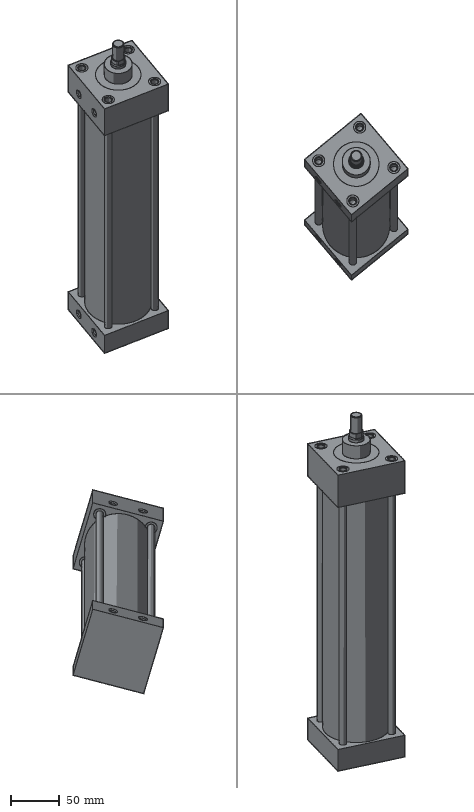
import cadquery as cq
import math

END_CAP_TOP = 25.5
HEAD_BOTTOM = 311.0
HEAD_TOP = 349.2
GLAND_TOP = 364.5
TAPER_BOTTOM = 367.7
FLATS_BOTTOM = 369.0
TAPER_TOP = 369.3
STUD_BOTTOM = 374.5
STUD_TOP = 393.7

CAP_SIDE = 76.5
TUBE_RADIUS = 35.0
TIE_SPACING = 55.5
TIE_RADIUS = 4.0
TIE_HEAD_RADIUS = 6.3

GLAND_PLUG_RADIUS = 23.5
GLAND_BOSS_RADIUS = 14.5

ROD_RADIUS = 8.0
ROD_NECK_RADIUS = 7.0
FLATS_WIDTH = 12.5
STUD_RADIUS = 6.0
STUD_CHAMFER = 0.8

HOLE_RADIUS = 3.5
HOLE_DEPTH = 12.0
DRILL_POINT_ANGLE = 118.0
TIE_HOLE_MOUTH_RADIUS = 4.5
SIDE_HOLE_MOUTH_RADIUS = 4.7
SIDE_HOLE_SPACING = 32.3
END_CAP_HOLE_HEIGHT = 11.5
HEAD_HOLE_HEIGHT = 325.5


def cylinders(radius, bottom, top, centers=((0, 0),)):
    """Upright cylinders of one size, by default a single one on the axis."""
    return (
        cq.Workplane("XY").workplane(offset=bottom)
        .pushPoints(centers).circle(radius).extrude(top - bottom)
    )


def square_block(bottom, top):
    return cq.Workplane("XY").workplane(offset=bottom).rect(CAP_SIDE, CAP_SIDE).extrude(top - bottom)


def blind_hole(mouth_radius):
    """Cutter for a hole opening upward at the origin, with a 45 degree countersink and a drill point."""
    countersink_depth = mouth_radius - HOLE_RADIUS
    point_length = HOLE_RADIUS / math.tan(math.radians(DRILL_POINT_ANGLE / 2))
    return (
        cq.Workplane("XZ")
        .lineTo(mouth_radius, 0)
        .lineTo(HOLE_RADIUS, -countersink_depth)
        .lineTo(HOLE_RADIUS, -HOLE_DEPTH)
        .lineTo(0, -HOLE_DEPTH - point_length)
        .close()
        .revolve(360, (0, 0, 0), (0, 1, 0))
    )


def tie_centers():
    half = TIE_SPACING / 2
    return [(x, y) for x in (-half, half) for y in (-half, half)]


def cut_side_holes(cap, height):
    """Drill the pair of holes in the -Y face of a cap."""
    hole = blind_hole(SIDE_HOLE_MOUTH_RADIUS).rotate((0, 0, 0), (1, 0, 0), 90)
    for x in (-SIDE_HOLE_SPACING / 2, SIDE_HOLE_SPACING / 2):
        cap = cap.cut(hole.translate((x, -CAP_SIDE / 2, height)))
    return cap


def make_barrel():
    """End cap carrying the tube and the four tie rods, whose drilled heads end flush with the head's top."""
    end_cap = cut_side_holes(square_block(0, END_CAP_TOP), END_CAP_HOLE_HEIGHT)
    tube = cylinders(TUBE_RADIUS, END_CAP_TOP, HEAD_BOTTOM)
    tie_rods = cylinders(TIE_RADIUS, END_CAP_TOP, HEAD_BOTTOM, tie_centers())
    tie_heads = cylinders(TIE_HEAD_RADIUS, HEAD_BOTTOM, HEAD_TOP, tie_centers())
    barrel = end_cap.union(tube).union(tie_rods).union(tie_heads)

    hole = blind_hole(TIE_HOLE_MOUTH_RADIUS)
    for x, y in tie_centers():
        barrel = barrel.cut(hole.translate((x, y, HEAD_TOP)))
    return barrel


def make_head():
    """Upper cap, bored for the gland and for the tie rod heads."""
    head = cut_side_holes(square_block(HEAD_BOTTOM, HEAD_TOP), HEAD_HOLE_HEIGHT)
    gland_bore = cylinders(GLAND_PLUG_RADIUS, HEAD_BOTTOM, HEAD_TOP)
    tie_bores = cylinders(TIE_HEAD_RADIUS, HEAD_BOTTOM, HEAD_TOP, tie_centers())
    return head.cut(gland_bore).cut(tie_bores)


def make_gland():
    plug = cylinders(GLAND_PLUG_RADIUS, HEAD_BOTTOM, HEAD_TOP)
    boss = cylinders(GLAND_BOSS_RADIUS, HEAD_TOP, GLAND_TOP)
    rod_bore = cylinders(ROD_RADIUS, HEAD_BOTTOM, GLAND_TOP)
    return plug.union(boss).cut(rod_bore)


def make_rod():
    """Stepped rod with a tapered shoulder, a chamfered stud and wrench flats facing +X and -X."""
    rod = (
        cq.Workplane("XZ")
        .moveTo(0, HEAD_BOTTOM)
        .lineTo(ROD_RADIUS, HEAD_BOTTOM)
        .lineTo(ROD_RADIUS, TAPER_BOTTOM)
        .lineTo(ROD_NECK_RADIUS, TAPER_TOP)
        .lineTo(ROD_NECK_RADIUS, STUD_BOTTOM)
        .lineTo(STUD_RADIUS, STUD_BOTTOM)
        .lineTo(STUD_RADIUS, STUD_TOP - STUD_CHAMFER)
        .lineTo(STUD_RADIUS - STUD_CHAMFER, STUD_TOP)
        .lineTo(0, STUD_TOP)
        .close()
        .revolve(360, (0, 0, 0), (0, 1, 0))
    )
    rod_diameter = 2 * ROD_RADIUS
    flats_cutter = (
        cq.Workplane("XY").workplane(offset=FLATS_BOTTOM)
        .rect(2 * rod_diameter, 2 * rod_diameter).rect(FLATS_WIDTH, rod_diameter)
        .extrude(STUD_BOTTOM - FLATS_BOTTOM)
    )
    return rod.cut(flats_cutter)


barrel = make_barrel()
head = make_head()
gland = make_gland()
rod = make_rod()

result = cq.Compound.makeCompound([barrel.val(), head.val(), gland.val(), rod.val()])